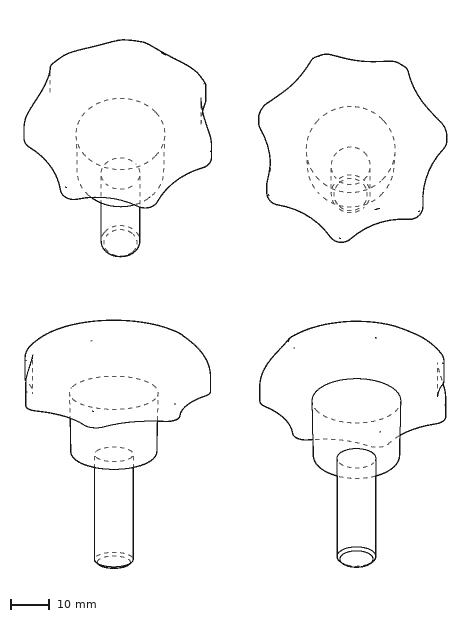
import cadquery as cq
import math

hub_bottom_z = 30.0
head_bottom_z = 47.1
dome_edge_z = 59.9
top_z = 62.0

stud_radius = 5.0
stud_chamfer = 0.75

hub_bottom_radius = 11.15
hub_top_radius = 11.5
hub_edge_fillet = 1.0

lobe_count = 7
head_radius = 25.0
lobe_tip_radius = 3.55
waist_radius = 20.95
dome_edge_radius = 18.3
scallop_top_fillet = 1.5
head_bottom_fillet = 0.4

rim_clearance = 0.005

lobe_centre_radius = head_radius - lobe_tip_radius
first_lobe_angle = math.pi
lobe_pitch = 2 * math.pi / lobe_count
half_pitch = lobe_pitch / 2
half_pitch_cosine = math.cos(half_pitch)
half_pitch_sine = math.sin(half_pitch)

scallop_radius = (
    lobe_centre_radius**2
    + waist_radius**2
    - 2 * lobe_centre_radius * waist_radius * half_pitch_cosine
    - lobe_tip_radius**2
) / (2 * (lobe_tip_radius + lobe_centre_radius * half_pitch_cosine - waist_radius))
scallop_centre_radius = waist_radius + scallop_radius

dome_height = top_z - dome_edge_z
dome_radius = (dome_edge_radius**2 + dome_height**2) / (2 * dome_height)
dome_edge_slope = math.asin(dome_edge_radius / dome_radius)
rim_radius = head_radius + rim_clearance
shoulder_radius = (rim_radius - dome_edge_radius) / (1 - math.sin(dome_edge_slope))
shoulder_centre_radius = rim_radius - shoulder_radius
shoulder_bottom_z = dome_edge_z - shoulder_radius * math.cos(dome_edge_slope)


def polar(radius, angle):
    """X and Y of a point at this radius and angle around the axis."""
    return (radius * math.cos(angle), radius * math.sin(angle))


def make_star_prism():
    """Upright prism whose outline alternates lobe tips and scallops."""
    tangent_direction = math.atan2(
        scallop_centre_radius * half_pitch_sine,
        scallop_centre_radius * half_pitch_cosine - lobe_centre_radius,
    )
    tangent_x = lobe_centre_radius + lobe_tip_radius * math.cos(tangent_direction)
    tangent_y = lobe_tip_radius * math.sin(tangent_direction)
    tangent_radius = math.hypot(tangent_x, tangent_y)
    tangent_angle = math.atan2(tangent_y, tangent_x)

    outline = cq.Workplane("XY", origin=(0, 0, head_bottom_z))
    outline = outline.moveTo(*polar(tangent_radius, first_lobe_angle - tangent_angle))
    for index in range(lobe_count):
        lobe_angle = first_lobe_angle + index * lobe_pitch
        outline = outline.threePointArc(
            polar(head_radius, lobe_angle),
            polar(tangent_radius, lobe_angle + tangent_angle),
        )
        outline = outline.threePointArc(
            polar(waist_radius, lobe_angle + half_pitch),
            polar(tangent_radius, lobe_angle + lobe_pitch - tangent_angle),
        )
    return outline.close().extrude(top_z - head_bottom_z)


def make_domed_blank():
    """Round blank with the dome, the shoulder and an upright rim."""
    dome_mid_angle = dome_edge_slope / 2
    dome_mid = (
        dome_radius * math.sin(dome_mid_angle),
        top_z - dome_radius * (1 - math.cos(dome_mid_angle)),
    )
    shoulder_mid_angle = (dome_edge_slope + math.pi / 2) / 2
    shoulder_mid = (
        shoulder_centre_radius + shoulder_radius * math.sin(shoulder_mid_angle),
        shoulder_bottom_z + shoulder_radius * math.cos(shoulder_mid_angle),
    )
    blank = (
        cq.Workplane("XZ")
        .moveTo(0, head_bottom_z)
        .lineTo(0, top_z)
        .threePointArc(dome_mid, (dome_edge_radius, dome_edge_z))
        .threePointArc(shoulder_mid, (rim_radius, shoulder_bottom_z))
        .lineTo(rim_radius, head_bottom_z)
        .close()
        .revolve(360, (0, 0, 0), (0, 1, 0))
    )
    return blank.rotate((0, 0, 0), (0, 0, 1), 180)


def make_scallop_sector(blank, core_cylinder):
    """Part of the head around the scallop on +X, outside the core, with its top edge rounded."""
    wedge_length = 2 * head_radius
    wedge_x, wedge_y = polar(wedge_length, half_pitch)
    wedge = (
        cq.Workplane("XY", origin=(0, 0, head_bottom_z))
        .polyline([(0, 0), (wedge_x, -wedge_y), (wedge_x, wedge_y)])
        .close()
        .extrude(top_z - head_bottom_z)
    )
    sector = make_star_prism().intersect(wedge).cut(core_cylinder).intersect(blank)
    return sector.edges("%BSPLINE").fillet(scallop_top_fillet)


def make_head():
    """Core under the dome, surrounded by one rounded scallop sector per lobe gap."""
    blank = make_domed_blank()
    core_cylinder = (
        cq.Workplane("XY", origin=(0, 0, head_bottom_z))
        .circle(dome_edge_radius)
        .extrude(top_z - head_bottom_z)
    )
    head = blank.intersect(core_cylinder)
    sector = make_scallop_sector(blank, core_cylinder)
    for index in range(lobe_count):
        turn = math.degrees(index * lobe_pitch)
        head = head.union(sector.rotate((0, 0, 0), (0, 0, 1), turn), clean=False)
    head = head.clean()
    return head.faces("<Z").edges().fillet(head_bottom_fillet)


def make_hub():
    """Hub that tapers downward, with its lower edge rounded."""
    hub = (
        cq.Workplane("XZ")
        .moveTo(0, hub_bottom_z)
        .lineTo(hub_bottom_radius, hub_bottom_z)
        .lineTo(hub_top_radius, head_bottom_z)
        .lineTo(0, head_bottom_z)
        .close()
        .revolve(360, (0, 0, 0), (0, 1, 0))
    )
    return hub.faces("<Z").edges().fillet(hub_edge_fillet)


def make_knob():
    return make_head().union(make_hub())


def make_stud():
    stud = cq.Workplane("XY").circle(stud_radius).extrude(hub_bottom_z)
    return stud.faces("<Z").edges().chamfer(stud_chamfer)


knob = make_knob()
stud = make_stud()
result = cq.Compound.makeCompound([knob.val(), stud.val()])